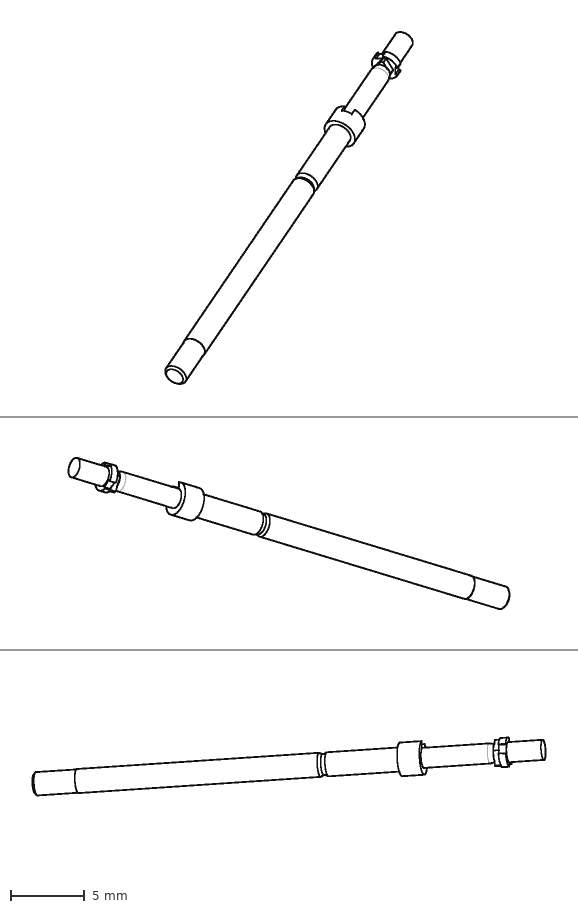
import cadquery as cq
import math


total_length = 35.4
head_length = 9.9
tail_length = total_length - head_length
tip_length = 2.4
collar_width = 0.5
key_width = 0.45
neck_length = 0.4
flange_width = 1.55

shank_radius = 0.69
neck_radius = 0.62
collar_radius = 1.0
flange_radius = 1.15
tube_radius = 0.825
tail_radius = 0.8

groove_start = -5.1
groove_depth = 0.11
groove_head_flank = 0.32
groove_tail_flank = 0.22

tail_end_length = 3.0
lead_in_length = 0.15
lead_in_depth = 0.17

slot_count = 3
slot_half_width = 0.33
slot_floor_radius = 0.78

key_half_thickness = 0.62
key_tip_radius = 0.91
key_face_angle = 60
key_core_radius = 0.5

notch_half_width = 0.38
notch_length = 0.45

collar_head = head_length - tip_length
collar_tail = collar_head - collar_width
key_tail = collar_tail - key_width
neck_tail = key_tail - neck_length
groove_bottom = groove_start - groove_head_flank
groove_end = groove_bottom - groove_tail_flank
tail_end = -tail_length
tail_step = tail_end + tail_end_length
lead_in_start = tail_end + lead_in_length


def disc(radius, y_low, y_high):
    """Cylinder on the Y axis between two stations, with its seam on top."""
    return (
        cq.Workplane("YZ")
        .moveTo(y_low, 0)
        .lineTo(y_low, radius)
        .lineTo(y_high, radius)
        .lineTo(y_high, 0)
        .close()
        .revolve(360, (0, 0, 0), (1, 0, 0))
    )


def extrude_along_y(outline, y_low, y_high):
    """Prism with an (x, z) outline between two stations."""
    plane = cq.Workplane("XZ", origin=(0, y_high, 0))
    return plane.polyline(outline).close().extrude(y_high - y_low)


def make_body():
    """Turned profile of shank, neck, tube and crimp groove."""
    groove_radius = tube_radius - groove_depth
    hollow_radius = (groove_head_flank**2 + groove_depth**2) / (2 * groove_depth)
    half_sweep = math.asin(groove_head_flank / hollow_radius) / 2
    groove_hollow = (
        groove_bottom + hollow_radius * math.sin(half_sweep),
        groove_radius + hollow_radius * (1 - math.cos(half_sweep)),
    )
    return (
        cq.Workplane("YZ")
        .moveTo(head_length, 0)
        .lineTo(head_length, shank_radius)
        .lineTo(collar_tail, shank_radius)
        .lineTo(collar_tail, key_core_radius)
        .lineTo(key_tail, key_core_radius)
        .lineTo(key_tail, neck_radius)
        .lineTo(neck_tail, shank_radius)
        .lineTo(0, shank_radius)
        .lineTo(0, tube_radius)
        .lineTo(groove_start, tube_radius)
        .threePointArc(groove_hollow, (groove_bottom, groove_radius))
        .lineTo(groove_end, tube_radius)
        .lineTo(tail_step, tube_radius)
        .lineTo(tail_step, tail_radius)
        .lineTo(lead_in_start, tail_radius)
        .lineTo(tail_end, tail_radius - lead_in_depth)
        .lineTo(tail_end, 0)
        .close()
        .revolve(360, (0, 0, 0), (1, 0, 0))
    )


def make_collar():
    """Collar with evenly spaced flat-bottomed slots, the first one facing +X."""
    collar = disc(collar_radius, collar_tail, collar_head)
    slot_outline = [
        (slot_floor_radius, -slot_half_width),
        (flange_radius, -slot_half_width),
        (flange_radius, slot_half_width),
        (slot_floor_radius, slot_half_width),
    ]
    slot = extrude_along_y(slot_outline, collar_tail, collar_head)
    for index in range(slot_count):
        angle = index * 360 / slot_count
        collar = collar.cut(slot.rotate((0, 0, 0), (0, 1, 0), angle))
    return collar


def make_key():
    """Rhombic prism standing upright, its top and bottom points rounded to the tip radius."""
    half_height = key_half_thickness * math.tan(math.radians(key_face_angle))
    outline = [
        (key_half_thickness, 0),
        (0, half_height),
        (-key_half_thickness, 0),
        (0, -half_height),
    ]
    prism = extrude_along_y(outline, key_tail, collar_tail)
    return prism.intersect(disc(key_tip_radius, key_tail, collar_tail))


def make_flange():
    """Flange with a locating slot in its top, open to the head and as deep as the shank."""
    flange = disc(flange_radius, 0, flange_width)
    notch_outline = [
        (-notch_half_width, 0),
        (notch_half_width, 0),
        (notch_half_width, flange_radius),
        (-notch_half_width, flange_radius),
    ]
    notch = extrude_along_y(notch_outline, flange_width - notch_length, flange_width)
    return flange.cut(notch)


result = make_body().union(make_collar()).union(make_key()).union(make_flange())